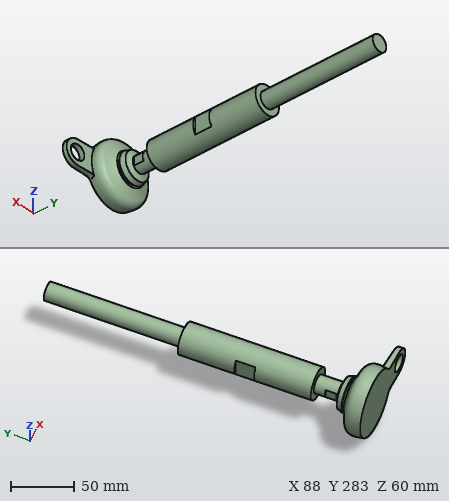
import cadquery as cq
import math


plate_radius = 30.0
base_radius = 29.1
rim_bottom_y = 6.2
rim_top_y = 8.8
shoulder_radius = 7.5
shoulder_top_y = 15.5
plate_top_y = 20.0
plate_top_radius = 16.0
plate_top_sag = 0.4

lug_hole_x = 45.5
lug_hole_diameter = 15.0
lug_radius = 12.5
lug_fillet = 5.7
lug_root_thickness = 5.7
lug_tip_thickness = 4.2

spindle_diameter = 16.0
spindle_top_y = 283.0
groove_radius = 14.0
collar_lip_y = 22.4
collar_lip_radius = 15.5
collar_edge_y = 27.2
collar_edge_radius = 14.0
collar_shoulder_y = 28.3
collar_shoulder_radius = 10.5
collar_top_y = 29.5
spindle_flats_width = 13.5
spindle_flats_bottom_y = 30.3
spindle_flats_length = 9.5

sleeve_diameter = 28.0
sleeve_bottom_y = 49.5
sleeve_length = 115.0
sleeve_flats_width = 22.4
sleeve_flats_length = 17.0
sleeve_flats_bottom_y = sleeve_bottom_y + (sleeve_length - sleeve_flats_length) / 2


def cylinder(diameter, bottom_y, length):
    """Cylinder on the Y axis."""
    return cq.Workplane("XZ", origin=(0, bottom_y, 0)).circle(diameter / 2).extrude(-length)


def cut_flats(body, diameter, width, bottom_y, length):
    """Cut two opposite wrench flats facing -X and +X."""
    depth = (diameter - width) / 2
    for side in (-1, 1):
        cutter = cq.Workplane("XY").box(depth, length, diameter)
        body = body.cut(cutter.translate((side * (width + depth) / 2, bottom_y + length / 2, 0)))
    return body


def make_plate():
    """Turned plate with a tapered rim, a rounded shoulder and a hollow slope up to its flat top."""
    rise = shoulder_top_y - rim_top_y
    end_angle = math.asin(rise / shoulder_radius)
    centre_x = plate_radius - shoulder_radius

    def shoulder_point(angle):
        return (
            centre_x + shoulder_radius * math.cos(angle),
            rim_top_y + shoulder_radius * math.sin(angle),
        )

    return (
        cq.Workplane("XY")
        .moveTo(0, 0)
        .lineTo(base_radius, 0)
        .lineTo(plate_radius, rim_bottom_y)
        .lineTo(plate_radius, rim_top_y)
        .threePointArc(shoulder_point(end_angle / 2), shoulder_point(end_angle))
        .sagittaArc((plate_top_radius, plate_top_y), plate_top_sag)
        .lineTo(0, plate_top_y)
        .close()
        .revolve(360, (0, 0, 0), (0, 1, 0))
    )


def make_lug():
    """Round-ended lug with filleted roots, thinning towards its tip."""
    fillet_z = lug_radius + lug_fillet
    fillet_reach = base_radius + lug_fillet
    fillet_x = math.sqrt(fillet_reach**2 - fillet_z**2)
    root_x = fillet_x * base_radius / fillet_reach
    root_z = fillet_z * base_radius / fillet_reach
    tip_x = lug_hole_x + lug_radius

    start_angle = math.atan2(-fillet_z, -fillet_x)
    middle_angle = (start_angle - math.pi / 2) / 2
    middle_x = fillet_x + lug_fillet * math.cos(middle_angle)
    middle_z = fillet_z + lug_fillet * math.sin(middle_angle)

    outline = (
        cq.Workplane("XZ")
        .moveTo(0, 0)
        .lineTo(root_x, root_z)
        .threePointArc((middle_x, middle_z), (fillet_x, lug_radius))
        .lineTo(lug_hole_x, lug_radius)
        .threePointArc((tip_x, 0), (lug_hole_x, -lug_radius))
        .lineTo(fillet_x, -lug_radius)
        .threePointArc((middle_x, -middle_z), (root_x, -root_z))
        .close()
        .extrude(-lug_root_thickness)
    )
    hole = (
        cq.Workplane("XZ")
        .center(lug_hole_x, 0)
        .circle(lug_hole_diameter / 2)
        .extrude(-lug_root_thickness)
    )
    slope_cutter = (
        cq.Workplane("XY")
        .polyline([
            (plate_radius, lug_root_thickness),
            (tip_x, lug_root_thickness),
            (tip_x, lug_tip_thickness),
        ])
        .close()
        .extrude(plate_radius, both=True)
    )
    return outline.cut(hole).cut(slope_cutter)


def make_foot():
    return make_plate().union(make_lug())


def make_collar():
    """Turned collar with a groove below its lip, standing on top of the foot plate."""
    return (
        cq.Workplane("XY")
        .polyline([
            (0, plate_top_y),
            (groove_radius, plate_top_y),
            (groove_radius, collar_lip_y),
            (collar_lip_radius, collar_lip_y),
            (collar_edge_radius, collar_edge_y),
            (collar_shoulder_radius, collar_shoulder_y),
            (spindle_diameter / 2, collar_top_y),
            (0, collar_top_y),
        ])
        .close()
        .revolve(360, (0, 0, 0), (0, 1, 0))
    )


def make_spindle():
    """Spindle with its collar, the sleeve and the wrench flats on both."""
    rod = cut_flats(
        cylinder(spindle_diameter, collar_top_y, spindle_top_y - collar_top_y),
        spindle_diameter, spindle_flats_width, spindle_flats_bottom_y, spindle_flats_length,
    )
    sleeve = cut_flats(
        cylinder(sleeve_diameter, sleeve_bottom_y, sleeve_length),
        sleeve_diameter, sleeve_flats_width, sleeve_flats_bottom_y, sleeve_flats_length,
    )
    return make_collar().union(rod).union(sleeve)


foot = make_foot()
spindle = make_spindle()
result = cq.Compound.makeCompound([foot.val(), spindle.val()])